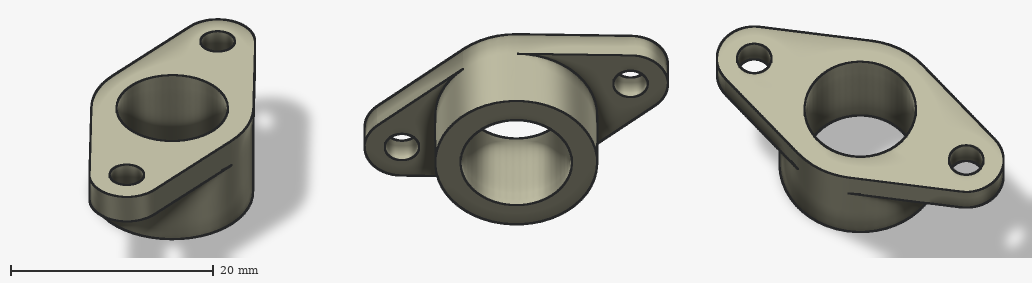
import cadquery as cq
import math

flange_thickness = 3.0
total_height = 10.2
sleeve_diameter = 16.0
bore_diameter = 11.0
screw_hole_diameter = 3.4
screw_hole_spacing = 24.0
ear_radius = 3.7
flange_angle = -45.0

sleeve_radius = sleeve_diameter / 2
hole_offset = screw_hole_spacing / 2
screw_positions = [(-hole_offset, 0), (hole_offset, 0)]
sleeve_height = total_height - flange_thickness
side_normal_angle = math.acos((sleeve_radius - ear_radius) / hole_offset)


def flange_plane():
    """Workplane on the underside of the flange."""
    return cq.Workplane("XY").workplane(offset=sleeve_height)


def sleeve():
    """Round sleeve over the full height; its top end forms the flange's central arcs."""
    return cq.Workplane("XY").circle(sleeve_radius).extrude(total_height)


def web():
    """Flange plate whose straight sides are tangent to the sleeve and to both ears."""
    normal_x = math.cos(side_normal_angle)
    normal_y = math.sin(side_normal_angle)
    middle_x = sleeve_radius * normal_x
    middle_y = sleeve_radius * normal_y
    ear_x = hole_offset + ear_radius * normal_x
    ear_y = ear_radius * normal_y
    outline = [
        (middle_x, middle_y),
        (ear_x, ear_y),
        (ear_x, -ear_y),
        (middle_x, -middle_y),
        (-middle_x, -middle_y),
        (-ear_x, -ear_y),
        (-ear_x, ear_y),
        (-middle_x, middle_y),
    ]
    return flange_plane().polyline(outline).close().extrude(flange_thickness)


def discs_at_screws(radius):
    """Two discs of flange thickness, centred on the screw positions."""
    return flange_plane().pushPoints(screw_positions).circle(radius).extrude(flange_thickness)


def bore():
    """Central bore through the flange and the sleeve."""
    return cq.Workplane("XY").circle(bore_diameter / 2).extrude(total_height)


body = sleeve().union(web()).union(discs_at_screws(ear_radius))
body = body.cut(bore()).cut(discs_at_screws(screw_hole_diameter / 2))
result = body.rotate((0, 0, 0), (0, 0, 1), flange_angle)